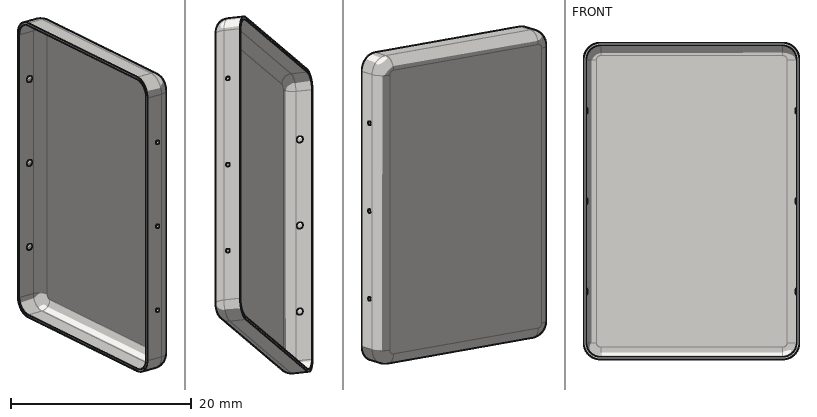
import cadquery as cq

width = 23.9
depth = 3.3
height = 35.1
corner_radius = 1.9
back_edge_radius = 1.4

wall = 0.3

dimple_radius = 0.228
bump_radius = 0.5
snap_spacing = 10.0
snap_setback = 1.4
snap_heights = (-snap_spacing, 0, snap_spacing)


def rounded_block(inset):
    """Tray outline shrunk by inset, starting at Y = 0, with rounded corners and back edge."""
    block = cq.Workplane("XY").box(
        width - 2 * inset,
        depth - inset,
        height - 2 * inset,
        centered=(True, False, True),
    )
    block = block.edges("|Y").fillet(corner_radius - inset)
    return block.faces(">Y").edges().fillet(back_edge_radius - inset)


def snap_balls(radius):
    """Balls centred on the outer side faces at every snap point."""
    profile = cq.Workplane("XY").moveTo(-radius, 0).threePointArc((0, radius), (radius, 0)).close()
    ball = profile.revolve(360, (0, 0, 0), (1, 0, 0)).val()
    points = [(x, snap_setback, z) for x in (-width / 2, width / 2) for z in snap_heights]
    return cq.Workplane("XY").newObject([ball.translate(cq.Vector(*point)) for point in points]).combine()


outside = rounded_block(0)
cavity = rounded_block(wall)

bumps = snap_balls(bump_radius).intersect(cavity)
dimples = snap_balls(dimple_radius)

result = outside.cut(cavity).union(bumps).cut(dimples)